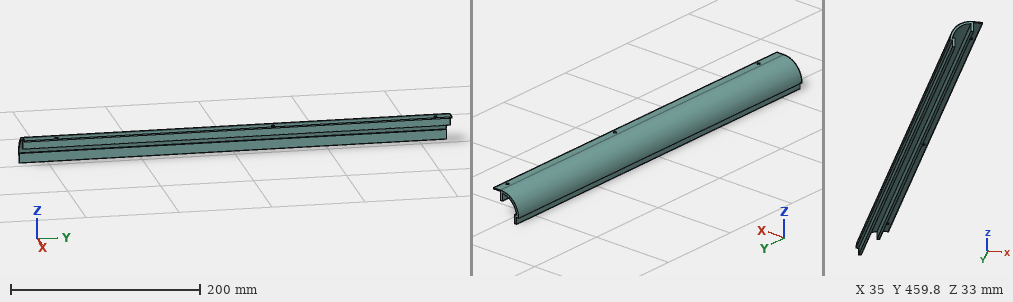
import cadquery as cq
import math

length = 459.8
width = 35.0
height = 33.0

outer_radius = 25.5
wall = 2.8
inner_radius = outer_radius - wall
flange_thickness = 1.5
rib_thickness = 2.8
rib_depth = 12.0
lip_thickness = 2.8
step_height = 2.8

hole_diameter = 3.0
hole_edge_distance = 4.5
hole_positions = (35.0, 268.0, 442.7)

rib_right = outer_radius
rib_left = rib_right - rib_thickness
lip_left = wall
lip_right = lip_left + lip_thickness
step_bottom = -outer_radius
step_top = step_bottom + step_height


def inner_offset(distance):
    """Leg of the inner arc's radius triangle when the other leg is known."""
    return math.sqrt(inner_radius**2 - distance**2)


def make_profile():
    """Closed cross-section in the XZ plane; both arcs share one centre."""
    center_x = outer_radius
    center_z = -outer_radius
    diagonal = math.sqrt(0.5)
    inner_top = center_z + inner_offset(center_x - rib_left)
    inner_left = center_x - inner_offset(step_top - center_z)
    outer_middle = (center_x - outer_radius * diagonal, center_z + outer_radius * diagonal)
    inner_middle = (center_x - inner_radius * diagonal, center_z + inner_radius * diagonal)
    return (
        cq.Workplane("XZ")
        .moveTo(0, step_bottom)
        .threePointArc(outer_middle, (center_x, 0))
        .lineTo(width, 0)
        .lineTo(width, -flange_thickness)
        .lineTo(rib_right, -flange_thickness)
        .lineTo(rib_right, -rib_depth)
        .lineTo(rib_left, -rib_depth)
        .lineTo(rib_left, inner_top)
        .threePointArc(inner_middle, (inner_left, step_top))
        .lineTo(lip_right, step_top)
        .lineTo(lip_right, -height)
        .lineTo(lip_left, -height)
        .lineTo(lip_left, step_bottom)
        .close()
    )


def make_holes():
    """Cylinders that pass through the flange from its top face."""
    centers = [(width - hole_edge_distance, y) for y in hole_positions]
    return (
        cq.Workplane("XY")
        .pushPoints(centers)
        .circle(hole_diameter / 2)
        .extrude(-flange_thickness)
    )


strip = make_profile().extrude(-length)
result = strip.cut(make_holes())